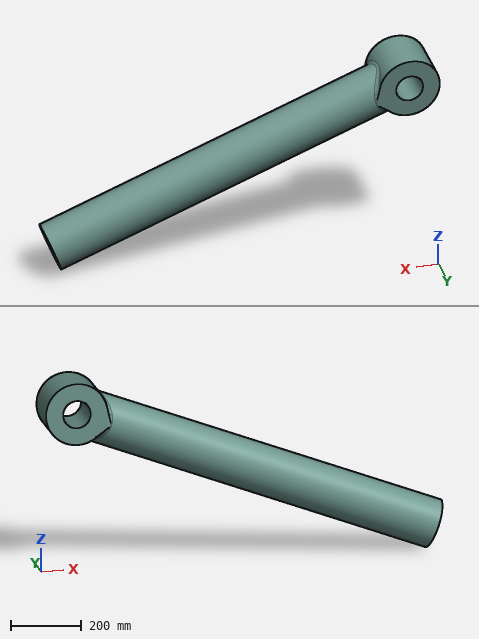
import cadquery as cq
import math

boss_diameter = 178.2
boss_width = 142.56
hole_diameter = 79.2

arm_diameter = boss_width
arm_length = 1108.5
arm_slope = 20.385

joint_radius = 15.84

blank_overhang = 3 * joint_radius
blank_width = boss_width + 2 * blank_overhang


def cylinder_along_y(diameter, width):
    """Cylinder centred on the origin with its axis along Y."""
    far_end = cq.Workplane("XZ", origin=(0, width / 2, 0))
    return far_end.circle(diameter / 2).extrude(width)


def make_arm():
    """Solid round bar running from the boss centre to the square-cut free end."""
    slope = math.radians(arm_slope)
    direction = (math.cos(slope), 0, -math.sin(slope))
    start = cq.Plane(origin=(0, 0, 0), xDir=(0, 1, 0), normal=direction)
    return cq.Workplane(start).circle(arm_diameter / 2).extrude(arm_length)


def make_filleted_blank():
    """Over-wide boss joined to the arm, with the joint filleted."""
    joined = cylinder_along_y(boss_diameter, blank_width).union(make_arm())
    return joined.edges("%BSPLINE").fillet(joint_radius)


def make_width_trim():
    """Slab of the finished width that covers the whole part in X and Z."""
    span = 2 * (arm_length + boss_diameter)
    return cq.Workplane("XY").box(span, boss_width, span)


hole = cylinder_along_y(hole_diameter, boss_width)

part = make_filleted_blank().intersect(make_width_trim()).cut(hole)
result = cq.Workplane(part.solids().val())